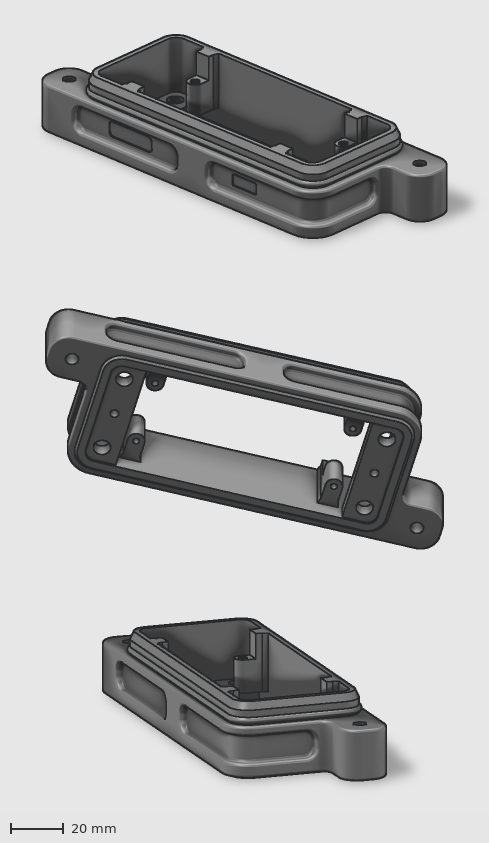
import cadquery as cq

overall_length = 165.0
body_length = 128.0
body_width = 58.0
body_corner_radius = 10.9

lip_height = 1.0
body_height = 20.0
collar_height = 8.9
body_top = lip_height + body_height
total_height = body_top + collar_height

edge_round = 1.0

ear_width = 19.0
ear_corner_radius = 7.6
ear_blend_radius = 4.0
ear_hole_diameter = 5.0

lip_top_inset = 2.6
collar_inset = 3.0
bead_inset = 2.0
rim_inset = 4.5
cavity_inset = 6.8
bead_root = 0.8
bead_bottom = body_top + 0.3
bead_top = body_top + 3.0
taper_start = body_top + 5.8

shelf_top = 7.0
shelf_edge_x = 44.4
large_hole_diameter = 6.5
large_hole_x = 51.5
large_hole_y = 16.0
small_hole_diameter = 3.3
small_hole_x = 51.0

post_x = 38.8
post_y = 13.5
post_width = 6.6
post_top = 20.0
buttress_face_y = 17.7
stem_root_width = 8.2
stem_flare_y = 20.1
stem_wall_overlap = 0.8
screw_hole_diameter = 2.5
screw_recess_diameter = 3.5
screw_recess_depth = 0.5

pocket_depth = 3.0
pocket_height = 10.9
pocket_corner_radius = 4.3
pocket_center_z = 11.9
pocket_floor_round = 1.2
pocket_rim_round = 1.2
pocket_inner_x = 7.8
pocket_outer_x = 61.9
pocket_end_y = 5.6

label_depth = 0.5
left_label_x = -34.8
left_label_length = 22.3
left_label_height = 6.5
left_label_radius = 1.8
right_label_x = 24.8
right_label_length = 12.5
right_label_height = 4.8
right_label_radius = 0.8

half_length = body_length / 2
half_width = body_width / 2
cavity_half_width = half_width - cavity_inset
ear_tip = overall_length / 2
ear_inner_y = half_width - ear_width
ear_hole_x = ear_tip - ear_width / 2
ear_hole_y = half_width - ear_width / 2
pocket_bottom = pocket_center_z - pocket_height / 2

nearest = cq.selectors.NearestToPointSelector


def rounded_prism(inset, z_bottom, z_top):
    """Rounded rectangle set in from the body outline by `inset`."""
    return (
        cq.Workplane("XY")
        .workplane(offset=z_bottom)
        .rect(body_length - 2 * inset, body_width - 2 * inset)
        .extrude(z_top - z_bottom)
        .edges("|Z")
        .fillet(body_corner_radius - inset)
    )


def half_turn(shape):
    """The same shape turned half a revolution about the Z axis."""
    return shape.rotate((0, 0, 0), (0, 0, 1), 180)


def make_body():
    """Main block with an ear at two opposite corners."""
    outline = [
        (-ear_tip, -half_width),
        (half_length, -half_width),
        (half_length, ear_inner_y),
        (ear_tip, ear_inner_y),
        (ear_tip, half_width),
        (-half_length, half_width),
        (-half_length, -ear_inner_y),
        (-ear_tip, -ear_inner_y),
    ]
    body = cq.Workplane("XY", origin=(0, 0, lip_height)).polyline(outline).close().extrude(body_height)
    for radius, corners in (
        (body_corner_radius, (1, 5)),
        (ear_blend_radius, (2, 6)),
        (ear_corner_radius, (0, 3, 4, 7)),
    ):
        for corner in corners:
            x, y = outline[corner]
            upright_edge = nearest((x, y, lip_height + body_height / 2))
            body = body.edges(upright_edge).fillet(radius)
    return body.faces("<Z or >Z").edges().fillet(edge_round)


def make_straight_pocket():
    """Cutter for the pocket in the front wall; its floor is rounded into its walls."""
    return (
        cq.Workplane("XZ", origin=(0, -half_width + pocket_depth, pocket_center_z))
        .center(-(pocket_inner_x + pocket_outer_x) / 2, 0)
        .rect(pocket_outer_x - pocket_inner_x, pocket_height)
        .extrude(pocket_depth)
        .edges("|Y")
        .fillet(pocket_corner_radius)
        .faces(">Y")
        .edges()
        .fillet(pocket_floor_round)
    )


def make_corner_pocket():
    """Cutter for the pocket that runs along the front wall and round the corner."""
    reach = overall_length
    front_slot = (
        cq.Workplane("XZ", origin=(0, -half_width + body_corner_radius, pocket_center_z))
        .center(pocket_inner_x + reach / 2, 0)
        .rect(reach, pocket_height)
        .extrude(2 * body_corner_radius)
        .edges("|Y")
        .fillet(pocket_corner_radius)
    )
    end_slot = (
        cq.Workplane("YZ", origin=(half_length - body_corner_radius, 0, pocket_center_z))
        .center(pocket_end_y - reach / 2, 0)
        .rect(reach, pocket_height)
        .extrude(2 * body_corner_radius)
        .edges("|X")
        .fillet(pocket_corner_radius)
    )
    core = rounded_prism(pocket_depth, 0, total_height)
    pocket = front_slot.union(end_slot).cut(core)
    floor_edge = ((pocket_inner_x + half_length) / 2, -half_width + pocket_depth, pocket_bottom)
    return pocket.edges(nearest(floor_edge)).fillet(pocket_floor_round)


def sink_pockets(body):
    """Cut two pockets in each long wall and round their rims."""
    pocket_middle_x = (pocket_inner_x + pocket_outer_x) / 2
    for pocket in (make_straight_pocket(), make_corner_pocket()):
        body = body.cut(pocket).cut(half_turn(pocket))
    for side in (-1, 1):
        for end in (-1, 1):
            rim_edge = (end * pocket_middle_x, side * half_width, pocket_bottom)
            body = body.edges(nearest(rim_edge)).fillet(pocket_rim_round)
    return body


def make_lip():
    """Tapered lip under the body."""
    return rounded_prism(lip_top_inset, 0, 2 * lip_height).faces("<Z").edges().chamfer(lip_height)


def make_collar():
    """Collar above the body with a tapered rim and a round bead at its foot."""
    collar = rounded_prism(collar_inset, body_top, total_height)
    collar = collar.faces(">Z").edges().chamfer(total_height - taper_start, rim_inset - collar_inset)
    bead_x = half_length - collar_inset
    bead_profile = (
        cq.Workplane("XZ")
        .moveTo(bead_x - bead_root, bead_bottom)
        .lineTo(bead_x, bead_bottom)
        .threePointArc((half_length - bead_inset, (bead_bottom + bead_top) / 2), (bead_x, bead_top))
        .lineTo(bead_x - bead_root, bead_top)
        .close()
    )
    bead_path = cq.Workplane(collar.faces("<Z").wires().val())
    return collar.union(bead_profile.sweep(bead_path))


def post_stem(face_y, height):
    """Wall stem from the shelf level up, flaring where it meets the wall."""
    half_face = post_width / 2
    half_root = stem_root_width / 2
    return (
        cq.Workplane("XY", origin=(post_x, 0, shelf_top))
        .moveTo(-half_face, face_y)
        .lineTo(half_face, face_y)
        .lineTo(half_face, stem_flare_y)
        .lineTo(half_root, cavity_half_width)
        .lineTo(half_root, cavity_half_width + stem_wall_overlap)
        .lineTo(-half_root, cavity_half_width + stem_wall_overlap)
        .lineTo(-half_root, cavity_half_width)
        .lineTo(-half_face, stem_flare_y)
        .close()
        .extrude(height - shelf_top)
    )


def make_post():
    """Round-nosed screw post with a taller buttress against the wall."""
    nose = (
        cq.Workplane("XY", origin=(post_x, post_y, shelf_top))
        .circle(post_width / 2)
        .extrude(post_top - shelf_top)
    )
    return nose.union(post_stem(post_y, post_top)).union(post_stem(buttress_face_y, total_height))


def make_shelf():
    """Floor shelf that closes the +X end of the cavity."""
    shelf_end = cq.Workplane("XY", origin=(half_length, 0, 0)).box(
        2 * (half_length - shelf_edge_x), body_width, 2 * total_height
    )
    return rounded_prism(cavity_inset, lip_height, shelf_top).intersect(shelf_end)


def four_places(x, y):
    """A point and its mirror images about both axes."""
    return [(x, y), (-x, y), (x, -y), (-x, -y)]


def drill(part, diameter, places, z_bottom=0.0):
    """Drill round holes upward from z_bottom through the rest of the part."""
    holes = (
        cq.Workplane("XY", origin=(0, 0, z_bottom))
        .pushPoints(places)
        .circle(diameter / 2)
        .extrude(total_height - z_bottom)
    )
    return part.cut(holes)


def drill_all(part):
    """Drill the ear, shelf and screw holes."""
    post_places = four_places(post_x, post_y)
    part = drill(part, ear_hole_diameter, [(ear_hole_x, ear_hole_y), (-ear_hole_x, -ear_hole_y)])
    part = drill(part, large_hole_diameter, four_places(large_hole_x, large_hole_y))
    part = drill(part, small_hole_diameter, [(small_hole_x, 0), (-small_hole_x, 0)])
    part = drill(part, screw_hole_diameter, post_places)
    return drill(part, screw_recess_diameter, post_places, post_top - screw_recess_depth)


def make_label_recess(center_x, length, height, corner_radius):
    """Cutter for a shallow rounded panel in the floor of a front pocket."""
    return (
        cq.Workplane("XZ", origin=(center_x, -half_width + pocket_depth + label_depth, pocket_center_z))
        .rect(length, height)
        .extrude(label_depth)
        .edges("|Y")
        .fillet(corner_radius)
    )


shell = sink_pockets(make_body()).union(make_lip()).union(make_collar())
result = shell.cut(rounded_prism(cavity_inset, 0, total_height))

shelf = make_shelf()
result = result.union(shelf).union(half_turn(shelf))

post = make_post()
for placed_post in (post, half_turn(post), post.mirror("YZ"), post.mirror("XZ")):
    result = result.union(placed_post)

result = drill_all(result)
result = result.cut(make_label_recess(left_label_x, left_label_length, left_label_height, left_label_radius))
result = result.cut(make_label_recess(right_label_x, right_label_length, right_label_height, right_label_radius))